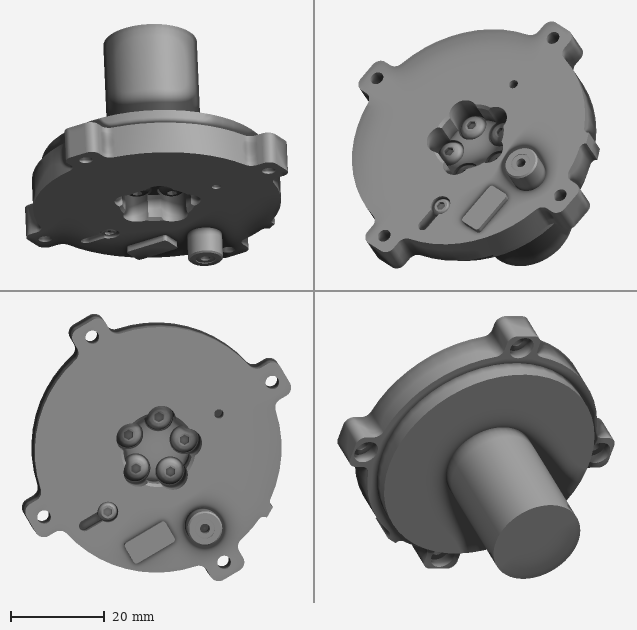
import cadquery as cq
import math


flange_diameter = 52.95
flange_thickness = 7.0
disc_diameter = 48.5
disc_thickness = 4.0
shaft_diameter = 20.0
overall_length = 38.0
flange_radius = flange_diameter / 2

ear_reach = 31.45
ear_width = 8.0
ear_corner_radius = 2.0
ear_root_radius = 2.0
bolt_square_side = 40.0
bolt_circle_radius = bolt_square_side / math.sqrt(2)
bolt_hole_radius = 1.45
counterbore_radius = 2.75
counterbore_depth = 2.55

key_angle = -60.0
key_width = 2.7
key_reach = 27.7
key_root_radius = 1.2

lobe_count = 5
first_lobe_angle = -90.0
lobe_circle_radius = 6.35
lobe_radius = 3.2
lobe_depth = 6.85
pocket_radius = 7.4
pocket_depth = 5.85
pocket_chamfer = 0.6
head_radius = 2.95
head_height = 1.65
head_top_radius = 1.35
socket_across_corners = 2.25
socket_depth = 1.0

shoulder_share = 0.7

slot_row = -6.05
slot_width = 2.35
slot_end = -21.8
slot_depth = 3.0
keyhole_x = -16.0
keyhole_radius = 2.25
pin_radius = 2.1
pin_height = 1.35
pin_sink = 0.2
pin_top_radius = 1.4
pin_socket_across_corners = 2.0
pin_socket_depth = 0.65

pad_length = 10.15
pad_width = 5.05
pad_height = 1.35
pad_center = (-11.6, -16.15)
pad_edge_radius = 0.7

post_y = -18.9
post_radius = 3.75
post_height = 5.75
post_chamfer = 0.35
post_recess_radius = 2.1
post_recess_depth = 0.15
post_bore_radius = 1.05
post_bore_depth = 3.0

pilot_x = 15.05
pilot_radius = 1.0
pilot_depth = 3.0

roll = 123.9
tilt = 122.6
azimuth = -47.4


origin = cq.Vector(0, 0, 0)
up = cq.Vector(0, 0, 1)
down = -up


def turned(shape, degrees):
    return shape.rotate(origin, up, degrees)


def polar(radius, degrees):
    angle = math.radians(degrees)
    return (radius * math.cos(angle), radius * math.sin(angle))


def cylinder(radius, bottom, top, center=(0, 0)):
    return cq.Workplane("XY", origin=(*center, bottom)).circle(radius).extrude(top - bottom)


def block(length, width, bottom, top, center=(0, 0)):
    return cq.Workplane("XY", origin=(*center, bottom)).rect(length, width).extrude(top - bottom)


def round_rim_corners(body, radius):
    """Fillet the upright edges where a flat side leaves the round rim of the flange."""
    corners = []
    for edge in body.edges("|Z").vals():
        point = edge.Center()
        on_rim = math.isclose(math.hypot(point.x, point.y), flange_radius, abs_tol=0.0005)
        is_seam = math.isclose(point.y, 0, abs_tol=0.0005)
        if on_rim and not is_seam:
            corners.append(edge)
    return body.newObject(corners).fillet(radius)


def make_flange():
    rim = cylinder(flange_radius, -flange_thickness, 0)
    bar = block(2 * ear_reach, ear_width, -flange_thickness, 0).edges("|Z").fillet(ear_corner_radius)
    eared = round_rim_corners(rim.union(bar).union(turned(bar, 90)), ear_root_radius)
    key = block(key_reach, key_width, -flange_thickness, 0, (key_reach / 2, 0))
    keyed = round_rim_corners(rim.union(turned(key, key_angle)), key_root_radius)
    return eared.union(keyed)


def cut_bolt_holes(body):
    for angle in range(0, 360, 90):
        center = polar(bolt_circle_radius, angle)
        body = body.cut(cylinder(bolt_hole_radius, -flange_thickness, 0, center))
        counterbore_top = -flange_thickness + counterbore_depth
        body = body.cut(cylinder(counterbore_radius, -flange_thickness, counterbore_top, center))
    return body


def make_button_head(radius, height, top_radius, across_corners, hex_depth):
    """A domed head standing on height zero, flat on top, with a hexagon socket."""
    shoulder = (shoulder_share * radius + (1 - shoulder_share) * top_radius, shoulder_share * height)
    profile = (
        cq.Workplane("XZ")
        .lineTo(radius, 0)
        .threePointArc(shoulder, (top_radius, height))
        .lineTo(0, height)
        .close()
    )
    head = profile.revolve(360, (0, 0, 0), (0, 1, 0))
    socket = cq.Workplane("XY", origin=(0, 0, height)).polygon(6, across_corners).extrude(-hex_depth)
    return head.cut(socket)


def cut_central_pocket(body):
    body = body.cut(cylinder(pocket_radius, -pocket_depth, 0))
    mouth_radius = pocket_radius + pocket_chamfer
    mouth = cq.Solid.makeCone(mouth_radius, pocket_radius, pocket_chamfer, origin, down)
    body = body.cut(cq.Workplane(mouth))
    head = make_button_head(
        head_radius, head_height, head_top_radius, socket_across_corners, socket_depth
    )
    centers = [
        polar(lobe_circle_radius, first_lobe_angle + i * 360 / lobe_count) for i in range(lobe_count)
    ]
    for center in centers:
        body = body.cut(cylinder(lobe_radius, -lobe_depth, 0, center))
    for center in centers:
        body = body.union(head.translate((*center, -lobe_depth)))
    return body


def cut_keyhole(body):
    slot_length = keyhole_x - slot_end
    slot_center = ((keyhole_x + slot_end) / 2, slot_row)
    slot = (
        cq.Workplane("XY", origin=(*slot_center, 0))
        .slot2D(slot_length + slot_width, slot_width)
        .extrude(-slot_depth)
    )
    body = body.cut(slot).cut(cylinder(keyhole_radius, -slot_depth, 0, (keyhole_x, slot_row)))
    pin_base = -pin_sink - pin_height
    stem = cylinder(pin_radius, -slot_depth, pin_base, (keyhole_x, slot_row))
    head = make_button_head(
        pin_radius, pin_height, pin_top_radius, pin_socket_across_corners, pin_socket_depth
    )
    return body.union(stem).union(head.translate((keyhole_x, slot_row, pin_base)))


def make_pad():
    pad = block(pad_length, pad_width, 0, pad_height, pad_center)
    return pad.edges("|Z").fillet(pad_edge_radius)


def make_post():
    center = (0, post_y)
    post = cylinder(post_radius, 0, post_height, center).faces(">Z").chamfer(post_chamfer)
    post = post.cut(cylinder(post_recess_radius, post_height - post_recess_depth, post_height, center))
    return post.cut(cylinder(post_bore_radius, post_height - post_bore_depth, post_height, center))


disc_bottom = -flange_thickness - disc_thickness
body = make_flange()
body = cut_bolt_holes(body)
body = body.union(cylinder(disc_diameter / 2, disc_bottom, -flange_thickness))
body = body.union(cylinder(shaft_diameter / 2, -overall_length, disc_bottom))
body = cut_central_pocket(body)
body = cut_keyhole(body)
body = body.cut(cylinder(pilot_radius, -pilot_depth, 0, (pilot_x, 0)))
body = body.union(make_pad()).union(make_post())

result = turned(turned(body, roll).rotate(origin, cq.Vector(0, 1, 0), tilt), azimuth)